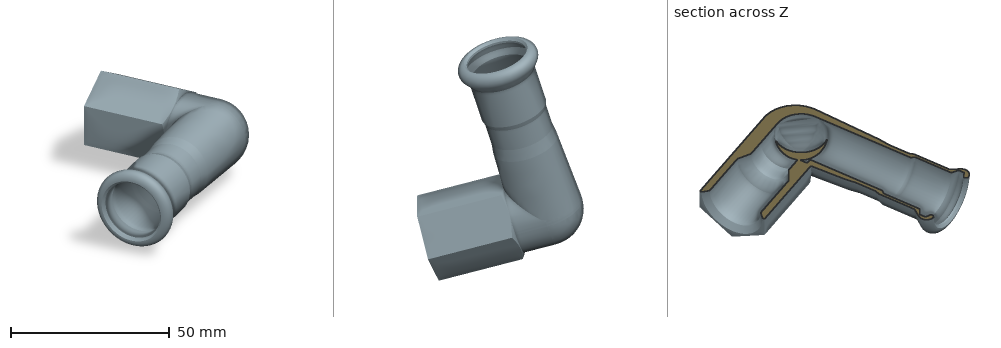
import cadquery as cq
import math

HEX_FLATS = 24.0
HEX_LENGTH = 28.65
HEX_CHAMFER_LENGTH = 1.1
HEX_CHAMFER_END_RADIUS = 11.7
HEX_CORNER_RADIUS = HEX_FLATS / math.sqrt(3)
MOUTH_RADIUS = 11.25
THREAD_RADIUS = 9.4
THREAD_END = 18.6
NECK_RADIUS = 6.9
NECK_START = 22.8

LEG_X = 39.0
BODY_RADIUS = 11.5
BODY_TOP_CENTER = HEX_FLATS / 2 - BODY_RADIUS
BODY_LOW_CENTER = -0.5
BODY_START = HEX_LENGTH - 3.45
ELBOW_BORE_RADIUS = 8.55
ELBOW_BORE_Y = NECK_RADIUS - ELBOW_BORE_RADIUS

LEG_END = HEX_FLATS / 2 - 69.0
TAPER_RADIUS = 10.55
TAPER_END = -23.95
WAIST_RADIUS = 10.1
WAIST_START = -28.0
WAIST_END = -35.3
SOCKET_OUTER_RADIUS = 10.6
SOCKET_START = -36.9
BEAD_START = -49.95
BEAD_SHOULDER_RADIUS = 12.55
BEAD_SHOULDER_Y = -52.7
BEAD_INNER_RADIUS = 10.4

SOCKET_RADIUS = 9.45
LIP_RADIUS = 9.7
LIP_Y = LEG_END + 0.7
BEAD_WALL = 1.0
SOCKET_STOP_END = -37.95
GROOVE_START = -51.35
GROOVE_FLOOR_END = -54.65
GROOVE_END = LEG_END + 1.4


def revolve_about_x(profile):
    return profile.close().revolve(360, (0, 0, 0), (1, 0, 0))


def revolve_leg(profile):
    """Revolve a (radius, Y) profile and move it onto the press leg axis."""
    return profile.close().revolve(360, (0, 0, 0), (0, 1, 0)).translate((LEG_X, 0, 0))


def elbow_tube(radius, y, x_start):
    """Tube along X that ends in a ball on the press leg axis."""
    tube = cq.Workplane("YZ", origin=(x_start, y, 0)).circle(radius).extrude(LEG_X - x_start)
    ball = cq.Workplane("XY").sphere(radius).translate((LEG_X, y, 0))
    return tube.union(ball)


def hex_end():
    hexagon = (
        cq.Workplane("YZ")
        .polygon(6, 2 * HEX_CORNER_RADIUS)
        .extrude(HEX_LENGTH)
        .rotate((0, 0, 0), (1, 0, 0), 90)
    )
    envelope = revolve_about_x(
        cq.Workplane("XY")
        .lineTo(0, HEX_CORNER_RADIUS)
        .lineTo(HEX_LENGTH - HEX_CHAMFER_LENGTH, HEX_CORNER_RADIUS)
        .lineTo(HEX_LENGTH, HEX_CHAMFER_END_RADIUS)
        .lineTo(HEX_LENGTH, 0)
    )
    return hexagon.intersect(envelope)


def elbow_body():
    height = BODY_TOP_CENTER - BODY_LOW_CENTER
    low = elbow_tube(BODY_RADIUS, BODY_LOW_CENTER, BODY_START)
    top = elbow_tube(BODY_RADIUS, BODY_TOP_CENTER, BODY_START)
    filler = (
        cq.Workplane("XY")
        .box(LEG_X - BODY_START, height, 2 * BODY_RADIUS, centered=(False, False, True))
        .translate((BODY_START, BODY_LOW_CENTER, 0))
    )
    corner = (
        cq.Workplane("XZ", origin=(LEG_X, BODY_TOP_CENTER, 0))
        .circle(BODY_RADIUS)
        .extrude(height)
    )
    return low.union(top).union(filler).union(corner)


def press_leg():
    return revolve_leg(
        cq.Workplane("XY")
        .moveTo(0, LEG_END)
        .lineTo(BEAD_INNER_RADIUS, LEG_END)
        .tangentArcPoint((BEAD_SHOULDER_RADIUS, BEAD_SHOULDER_Y), relative=False)
        .lineTo(SOCKET_OUTER_RADIUS, BEAD_START)
        .lineTo(SOCKET_OUTER_RADIUS, SOCKET_START)
        .lineTo(WAIST_RADIUS, WAIST_END)
        .lineTo(WAIST_RADIUS, WAIST_START)
        .lineTo(TAPER_RADIUS, TAPER_END)
        .lineTo(BODY_RADIUS, BODY_LOW_CENTER)
        .lineTo(0, BODY_LOW_CENTER)
    )


def hex_bore():
    return revolve_about_x(
        cq.Workplane("XY")
        .lineTo(0, MOUTH_RADIUS)
        .lineTo(MOUTH_RADIUS - THREAD_RADIUS, THREAD_RADIUS)
        .lineTo(THREAD_END, THREAD_RADIUS)
        .lineTo(NECK_START, NECK_RADIUS)
        .lineTo(LEG_X, NECK_RADIUS)
        .lineTo(LEG_X, 0)
    )


def press_bore():
    return revolve_leg(
        cq.Workplane("XY")
        .moveTo(0, ELBOW_BORE_Y)
        .lineTo(ELBOW_BORE_RADIUS, ELBOW_BORE_Y)
        .lineTo(ELBOW_BORE_RADIUS, SOCKET_START)
        .lineTo(SOCKET_RADIUS, SOCKET_STOP_END)
        .lineTo(SOCKET_RADIUS, GROOVE_START)
        .lineTo(BEAD_SHOULDER_RADIUS - BEAD_WALL, BEAD_SHOULDER_Y)
        .lineTo(BEAD_SHOULDER_RADIUS - BEAD_WALL, GROOVE_FLOOR_END)
        .lineTo(LIP_RADIUS, GROOVE_END)
        .lineTo(LIP_RADIUS, LIP_Y)
        .lineTo(BEAD_INNER_RADIUS, LEG_END)
        .lineTo(0, LEG_END)
    )


outside = hex_end().union(elbow_body()).union(press_leg())
elbow_bore = elbow_tube(ELBOW_BORE_RADIUS, ELBOW_BORE_Y, HEX_LENGTH)
result = outside.cut(hex_bore()).cut(elbow_bore).cut(press_bore())